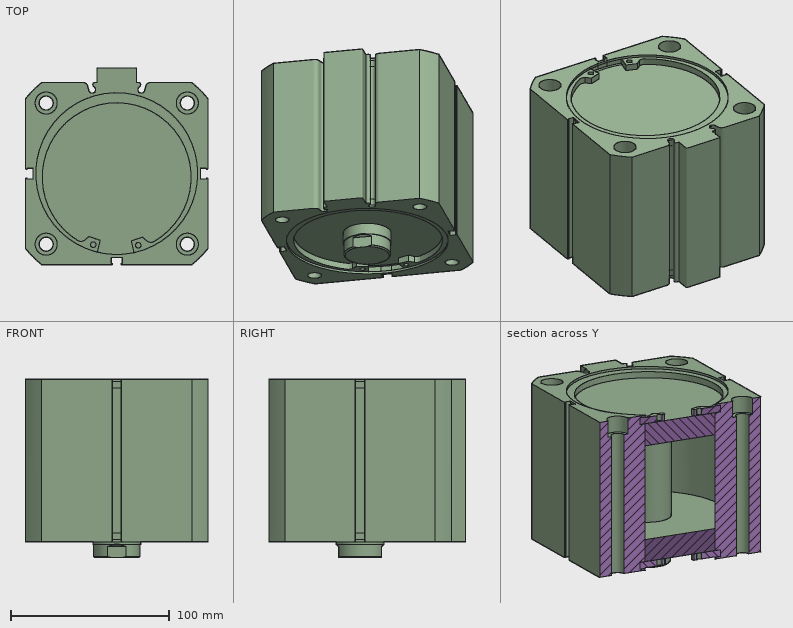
import cadquery as cq
import math

side = 115.0
half_side = side / 2
housing_height = 102.5
corner_radius = 74.4

overall_depth = 124.0
lug_height = overall_depth - side
lug_half_width = 12.5
lug_edge_radius = 0.6

groove_x = 15.5
groove_radius = 2.1
groove_center_depth = 4.6
lip_radius = 1.4
lip_x = 13.8
groove_wall_x = 18.1
groove_mouth_radius = 3.2

slot_mouth_width = 5.5
slot_inner_width = 6.7
slot_lip = 1.0
slot_depth = 4.6
slot_chamfer = 0.4

hole_pitch = 88.9
hole_diameter = 8.7
counterbore_diameter = 13.9
counterbore_depth = 10.5

bore_radius = 51.0
ring_groove_radius = 52.8
ring_inset = 1.5
ring_thickness = 4.1
ring_opening_radius = 46.9
ring_opening_offset = 2.2
ring_turn = -0.8
ring_end_angle = 13.1
ear_radius = 43.3
ear_outer_angle = 23.0
ear_root_angle = 25.2
ear_root_radius = 47.0
ear_fillet_angle = 27.6
ear_fillet_radius = 48.5
ear_blend_angle = 30.5
ear_blend_radius = 48.9
ear_hole_angle = 17.5
ear_hole_radius = 47.1
ear_hole_diameter = 3.5

cover_inset = ring_inset + ring_thickness
cover_thickness = 14.9
head_cover_bottom = housing_height - cover_inset - cover_thickness
ring_bottoms = [ring_inset, housing_height - cover_inset]

rod_radius = 15.1
rod_end_radius = 14.8
rod_projection = 9.9
rod_shoulder = 1.6
rod_chamfer = 0.9

flat_distance = 13.5
flat_top = 3.0


def polar(radius, angle):
    """Point at a radius, with the angle in degrees measured from -Y toward +X."""
    a = math.radians(angle)
    return radius * math.sin(a), -radius * math.cos(a)


def make_block():
    square = cq.Workplane("XY").rect(side, side).extrude(housing_height)
    rounding = cq.Workplane("XY").circle(corner_radius).extrude(housing_height)
    return square.intersect(rounding)


def make_lug():
    return (
        cq.Workplane("XY")
        .rect(2 * lug_half_width, 2 * lug_height)
        .extrude(housing_height)
        .edges("|Z and >Y")
        .fillet(lug_edge_radius)
        .translate((0, half_side, 0))
    )


def make_keyhole_groove():
    """Groove on the +X side of the lug: a round bottom under a rounded mouth."""
    center_y = half_side - groove_center_depth
    diagonal = math.sqrt(0.5)
    lip_y = half_side - lip_radius
    wall_y = half_side - groove_mouth_radius
    mouth_x = groove_wall_x + groove_mouth_radius
    mouth_middle = (
        mouth_x - groove_mouth_radius * diagonal,
        wall_y + groove_mouth_radius * diagonal,
    )
    return (
        cq.Workplane("XY")
        .moveTo(lip_x, half_side)
        .threePointArc(
            (lip_x + lip_radius, lip_y),
            (lip_x + lip_radius * diagonal, lip_y - lip_radius * diagonal),
        )
        .lineTo(groove_x - groove_radius * diagonal, center_y + groove_radius * diagonal)
        .threePointArc(
            (groove_x - groove_radius * diagonal, center_y - groove_radius * diagonal),
            (groove_x + groove_radius, center_y),
        )
        .lineTo(groove_wall_x, wall_y)
        .threePointArc(mouth_middle, (mouth_x, half_side))
        .close()
        .extrude(housing_height)
    )


def make_t_slot():
    """T-slot through the full height of the -Y face, with chamfered mouth edges."""
    mouth = cq.Workplane("XY").rect(slot_mouth_width, 2 * slot_depth).extrude(housing_height)
    inner_depth = slot_depth - slot_lip
    inner = (
        cq.Workplane("XY")
        .center(0, slot_lip + inner_depth / 2)
        .rect(slot_inner_width, inner_depth)
        .extrude(housing_height)
    )
    half_mouth = slot_mouth_width / 2
    flare = (
        cq.Workplane("XY")
        .polyline([
            (-half_mouth - slot_chamfer, 0),
            (half_mouth + slot_chamfer, 0),
            (half_mouth, slot_chamfer),
            (-half_mouth, slot_chamfer),
        ])
        .close()
        .extrude(housing_height)
    )
    return mouth.union(inner).union(flare).translate((0, -half_side, 0))


def make_disc(radius, bottom, height):
    return cq.Workplane("XY").workplane(offset=bottom).circle(radius).extrude(height)


def make_housing():
    body = make_block().union(make_lug())
    groove = make_keyhole_groove()
    body = body.cut(groove).cut(groove.mirror("YZ"))
    for angle in (-90, 0, 90):
        body = body.cut(make_t_slot().rotate((0, 0, 0), (0, 0, 1), angle))
    body = (
        body.faces(">Z")
        .workplane(origin=(0, 0, housing_height))
        .rect(hole_pitch, hole_pitch, forConstruction=True)
        .vertices()
        .cboreHole(hole_diameter, counterbore_diameter, counterbore_depth)
    )
    body = body.cut(make_disc(bore_radius, 0, housing_height))
    for bottom in ring_bottoms:
        body = body.cut(make_disc(ring_groove_radius, bottom, ring_thickness))
    return body


def make_ear():
    """Lug at the +X end of a retaining ring, blended into the band by an arc."""
    return (
        cq.Workplane("XY")
        .moveTo(*polar(ring_groove_radius, ring_end_angle))
        .lineTo(*polar(ear_radius, ring_end_angle))
        .lineTo(*polar(ear_radius, ear_outer_angle))
        .lineTo(*polar(ear_root_radius, ear_root_angle))
        .threePointArc(
            polar(ear_fillet_radius, ear_fillet_angle),
            polar(ear_blend_radius, ear_blend_angle),
        )
        .close()
        .extrude(ring_thickness)
    )


def make_ring(bottom):
    """Retaining ring, widest at +Y and open at -Y between two ears with plier holes."""
    disc = make_disc(ring_groove_radius, 0, ring_thickness)
    opening = make_disc(ring_opening_radius, 0, ring_thickness).translate((0, -ring_opening_offset, 0))
    gap = (
        cq.Workplane("XY")
        .polyline([
            (0, 0),
            polar(2 * ring_groove_radius, -ring_end_angle),
            polar(2 * ring_groove_radius, ring_end_angle),
        ])
        .close()
        .extrude(ring_thickness)
    )
    ear = make_ear()
    ring = disc.cut(opening).cut(gap).union(ear).union(ear.mirror("YZ"))
    hole_points = [polar(ear_hole_radius, a) for a in (-ear_hole_angle, ear_hole_angle)]
    holes = cq.Workplane("XY").pushPoints(hole_points).circle(ear_hole_diameter / 2).extrude(ring_thickness)
    return ring.cut(holes).rotate((0, 0, 0), (0, 0, 1), ring_turn).translate((0, 0, bottom))


def make_head_cover():
    return make_disc(bore_radius, head_cover_bottom, cover_thickness)


def make_rod_cover():
    cover = make_disc(bore_radius, cover_inset, cover_thickness)
    return cover.cut(make_disc(rod_radius, cover_inset, cover_thickness))


def make_wrench_flat():
    """Material beyond the -Y wrench flat, ending in a 45 degree run-out."""
    run_out = rod_radius - flat_distance
    return (
        cq.Workplane("YZ")
        .polyline([
            (-flat_distance, -rod_projection),
            (-flat_distance, -flat_top),
            (-flat_distance - run_out, -flat_top + run_out),
            (-flat_distance - run_out, -rod_projection),
        ])
        .close()
        .extrude(rod_radius, both=True)
    )


def make_piston_rod():
    end_length = rod_projection - rod_shoulder
    end = make_disc(rod_end_radius, -rod_projection, end_length).faces("<Z").chamfer(rod_chamfer)
    shaft = make_disc(rod_radius, -rod_shoulder, head_cover_bottom + rod_shoulder)
    flat = make_wrench_flat()
    return shaft.union(end).cut(flat).cut(flat.mirror("XZ"))


housing = make_housing()
head_cover = make_head_cover()
rod_cover = make_rod_cover()
rings = [make_ring(bottom) for bottom in ring_bottoms]
piston_rod = make_piston_rod()

result = cq.Compound.makeCompound([
    housing.val(),
    head_cover.val(),
    rod_cover.val(),
    *[ring.val() for ring in rings],
    piston_rod.val(),
])